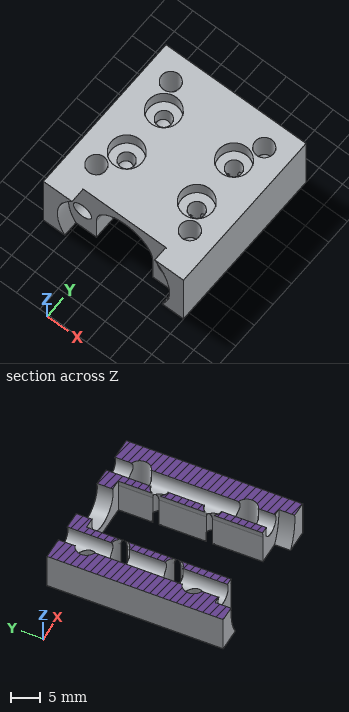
import cadquery as cq

WIDTH = 30.0
LENGTH = 33.0
HEIGHT = 14.11

BORE_HEIGHT = 6.0
BORE_DIAMETER = 8.0
FLANGE_DIAMETER = 24.0
FLANGE_DEPTH = 3.0
CHANNEL_WIDTH = 12.0
BACK_WALL = 3.0
CHANNEL_END = LENGTH - BACK_WALL
SIDE_HOLE_SPACING = 18.0

CLEARANCE_DIAMETER = 3.86

PATTERN_CENTRE_Y = (FLANGE_DEPTH + LENGTH) / 2
OUTER_SPACING = 20.0
SCREW_DIAMETER = 3.2
SCREW_SPACING_X = 15.0
SCREW_SPACING_Y = 10.0
COUNTERBORE_DIAMETER = 6.5
COUNTERBORE_DEPTH = 3.0


def make_block():
    return cq.Workplane("XY").box(WIDTH, LENGTH, HEIGHT, centered=(True, False, False))


def cylinder_along_y(diameter, length, x=0.0):
    """Cylinder at bore height, running back from the front face."""
    front = cq.Workplane("XZ", origin=(x, 0, BORE_HEIGHT))
    return front.circle(diameter / 2).extrude(-length)


def make_channel():
    """Round-topped channel, open at the front and the underside."""
    round_top = cylinder_along_y(CHANNEL_WIDTH, CHANNEL_END)
    straight_sides = cq.Workplane("XY").box(
        CHANNEL_WIDTH, CHANNEL_END, BORE_HEIGHT, centered=(True, False, False)
    )
    return round_top.union(straight_sides)


def cut_axial_features(body):
    """Flange recess, channel, through bore and the two holes beside it."""
    body = body.cut(cylinder_along_y(FLANGE_DIAMETER, FLANGE_DEPTH))
    body = body.cut(make_channel())
    body = body.cut(cylinder_along_y(BORE_DIAMETER, LENGTH))
    for x in (-SIDE_HOLE_SPACING / 2, SIDE_HOLE_SPACING / 2):
        body = body.cut(cylinder_along_y(CLEARANCE_DIAMETER, LENGTH, x))
    return body


def cut_vertical_holes(body):
    """Four plain through holes and four counterbored screw holes."""
    top = cq.Workplane("XY", origin=(0, PATTERN_CENTRE_Y, HEIGHT))
    outer = top.rarray(OUTER_SPACING, OUTER_SPACING, 2, 2)
    body = body.cut(outer.circle(CLEARANCE_DIAMETER / 2).extrude(-HEIGHT))
    screws = top.rarray(SCREW_SPACING_X, SCREW_SPACING_Y, 2, 2)
    body = body.cut(screws.circle(SCREW_DIAMETER / 2).extrude(-HEIGHT))
    return body.cut(screws.circle(COUNTERBORE_DIAMETER / 2).extrude(-COUNTERBORE_DEPTH))


result = cut_vertical_holes(cut_axial_features(make_block()))